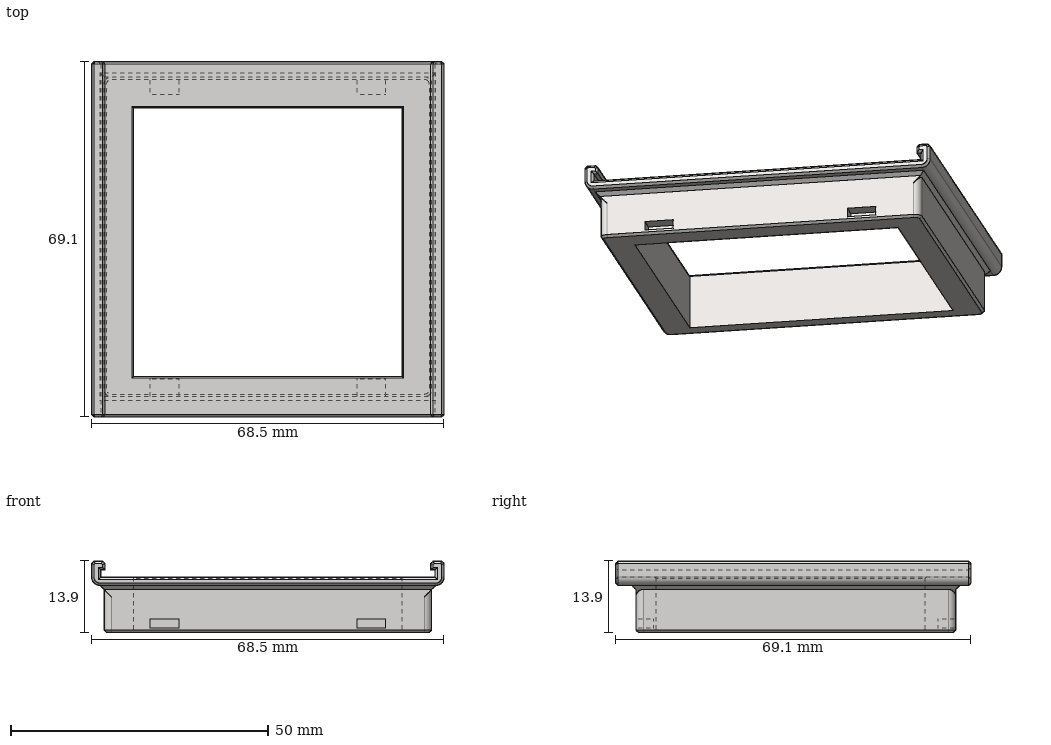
import cadquery as cq

width = 68.5
length = 69.1
height = 13.9

plate_top = 10.8
plate_bottom = 9.1
rail_wall = 1.8
lip_reach = 2.6
lip_thickness = 1.7
side_round = 1.65
edge_break = 0.5

flare = 0.75
skirt_width = width - 2 * (side_round + flare)
skirt_length = 62.2
skirt_offset = 0.5
skirt_corner_radius = 1.45

opening = 52.2
opening_offset = -0.55
opening_break = 0.3

slot_width = 5.6
slot_height = 1.7
slot_depth = 3.45
slot_bottom = 0.9
slot_spacing = 40.2


def make_plate():
    """Plate with an inward-lipped rail along each X side.

    The long bottom edges are rounded; the long top edges and both ends are chamfered.
    """
    rail_height = height - plate_bottom
    inner_width = width - 2 * rail_wall
    lip_gap = width - 2 * lip_reach
    groove_height = height - lip_thickness - plate_top

    plate = cq.Workplane("XY", origin=(0, 0, plate_bottom)).box(
        width, length, rail_height, centered=(True, True, False)
    )
    groove = cq.Workplane("XY", origin=(0, 0, plate_top)).box(
        inner_width, length, groove_height, centered=(True, True, False)
    )
    gap = cq.Workplane("XY", origin=(0, 0, plate_top)).box(
        lip_gap, length, height - plate_top, centered=(True, True, False)
    )
    plate = plate.cut(groove).cut(gap)
    plate = plate.edges("|Y and <Z").fillet(side_round)
    plate = plate.edges("|Y and >Z").chamfer(edge_break)
    return plate.faces("<Y or >Y").edges().chamfer(edge_break)


def make_skirt():
    """Rounded rectangular skirt reaching up into the plate."""
    base = cq.Workplane("XY", origin=(0, skirt_offset, 0)).rect(skirt_width, skirt_length)
    skirt = base.extrude(plate_top - edge_break)
    skirt = skirt.edges("|Z").fillet(skirt_corner_radius)
    return skirt.faces("<Z").edges().chamfer(edge_break)


def make_flare():
    """Mitred 45 degree neck; its X slopes run on down across the rounded skirt corners."""
    neck = (
        cq.Workplane("XY", origin=(0, skirt_offset, plate_bottom))
        .rect(skirt_width + 2 * flare, skirt_length + 2 * flare)
        .workplane(offset=-flare)
        .rect(skirt_width, skirt_length)
        .loft(ruled=True)
    )
    tails = (
        cq.Workplane("XY", origin=(0, skirt_offset, plate_bottom - flare))
        .rect(skirt_width, skirt_length)
        .workplane(offset=-skirt_corner_radius)
        .rect(skirt_width - 2 * skirt_corner_radius, skirt_length)
        .loft(ruled=True)
    )
    return neck.union(tails)


def cut_opening(body):
    """Square through opening with a chamfered upper rim."""
    top_size = opening + 2 * opening_break
    hole = cq.Workplane("XY", origin=(0, opening_offset, 0)).rect(opening, opening).extrude(plate_top)
    rim = (
        cq.Workplane("XY", origin=(0, opening_offset, plate_top))
        .rect(top_size, top_size)
        .workplane(offset=-opening_break)
        .rect(opening, opening)
        .loft(ruled=True)
    )
    return body.cut(hole).cut(rim)


def cut_slots(body):
    """Two blind slots low in each Y wall of the skirt."""
    slot_y = (skirt_length - slot_depth) / 2
    for x in (-slot_spacing / 2, slot_spacing / 2):
        for y in (skirt_offset - slot_y, skirt_offset + slot_y):
            slot = cq.Workplane("XY", origin=(x, y, slot_bottom)).box(
                slot_width, slot_depth, slot_height, centered=(True, True, False)
            )
            body = body.cut(slot)
    return body


body = make_plate().union(make_skirt()).union(make_flare())
body = cut_opening(body)
result = cut_slots(body)